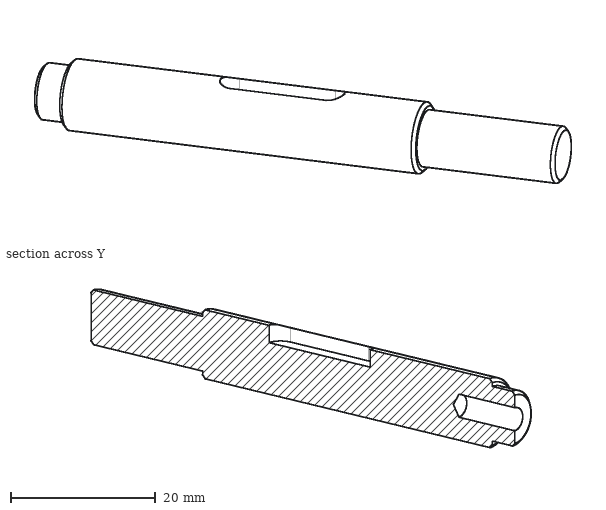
import cadquery as cq
import math

total_length = 76.0
front_journal_length = 4.0
rear_journal_length = 20.0
body_length = total_length - front_journal_length - rear_journal_length

body_diameter = 10.0
journal_diameter = 8.0
chamfer = 0.5

keyway_length = 18.0
keyway_width = 4.0
keyway_depth = 2.5
keyway_start = 26.0

hole_diameter = 3.3
hole_depth = 10.0
drill_point_angle = 118.0


def cylinder_along_x(start, length, diameter):
    return cq.Workplane("YZ", origin=(start, 0, 0)).circle(diameter / 2).extrude(length)


def make_shaft():
    body_end = front_journal_length + body_length
    front_journal = cylinder_along_x(0, front_journal_length, journal_diameter).faces("<X").chamfer(chamfer)
    body = cylinder_along_x(front_journal_length, body_length, body_diameter).faces("<X or >X").chamfer(chamfer)
    rear_journal = cylinder_along_x(body_end, rear_journal_length, journal_diameter).faces(">X").chamfer(chamfer)
    return body.union(front_journal).union(rear_journal)


def make_keyway():
    keyway_center = keyway_start + keyway_length / 2
    keyway_floor = body_diameter / 2 - keyway_depth
    return (
        cq.Workplane("XY", origin=(keyway_center, 0, keyway_floor))
        .slot2D(keyway_length, keyway_width)
        .extrude(body_diameter)
    )


def make_end_hole():
    radius = hole_diameter / 2
    point_length = radius / math.tan(math.radians(drill_point_angle / 2))
    return (
        cq.Workplane("XY")
        .polyline([(0, 0), (0, radius), (hole_depth, radius), (hole_depth + point_length, 0)])
        .close()
        .revolve(360, (0, 0, 0), (1, 0, 0))
    )


shaft = make_shaft().cut(make_keyway()).cut(make_end_hole())
result = shaft.translate((-total_length / 2, 0, 0))